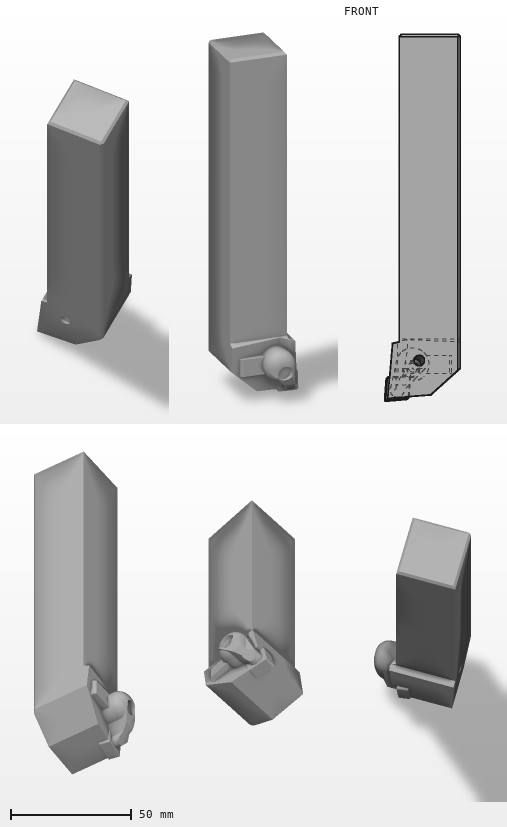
import cadquery as cq
import math

TOTAL_LENGTH = 152.0
SHANK_WIDTH = 25.4
SHANK_CHAMFER = 1.0

HEAD_BOTTOM_LEFT = (-4.7, 1.2)
HEAD_BOTTOM_RIGHT = (13.1, 2.6)
HEAD_SHOULDER_LEFT = (-2.7, 24.0)
HEAD_SHOULDER_TOP = 24.6
BEVEL_TOP = 13.7

HEAD_DEPTH = 28.6
RAMP_TOP = 25.9
RAMP_BOTTOM = 24.5
RAKE_CORNER = (HEAD_SHOULDER_LEFT[0], 27.7, HEAD_SHOULDER_LEFT[1])

SEAT_DEPTH = 2.6
LAND_TOP_WIDTH = 2.0
LAND_BASE_WIDTH = 5.8

RAKE_ANGLE = 6.0
RAKE_SLOPE = math.tan(math.radians(RAKE_ANGLE))
RAKE_NORMAL = cq.Vector(-RAKE_SLOPE, 1, -RAKE_SLOPE).normalized()
RAKE_RIGHT = RAKE_NORMAL.cross(cq.Vector(0, 0, 1)).normalized()
RAKE_UP = RAKE_RIGHT.cross(RAKE_NORMAL)

INSERT_EDGE = 9.7
INSERT_THICKNESS = 4.9
INSERT_NOSE_RADIUS = 0.8
INSERT_RELIEF = 5.0
INSERT_TIP = (-6.1, 22.7, -0.08)

CLAMP_PEAK = 35.9
CLAMP_BASE = 22.5
CLAMP_HEEL = (5.5, 15.4)
CLAMP_HEEL_RADIUS = 6.8
CLAMP_CROWN_RADIUS = 5.5
CLAMP_NOSE = (-0.9, 4.7)
CLAMP_NOSE_RADIUS = 2.9
CLAMP_NOSE_BOTTOM = CLAMP_NOSE[1] - CLAMP_NOSE_RADIUS
CLAMP_NOSE_HEIGHT = 25.7
CLAMP_LEFT_EDGE_HEIGHT = 28.0
CLAMP_SLOPE_MIDDLE = (32.5, 6.8)
CLAMP_SLOPE_TOP = 12.2
CLAMP_LEFT = CLAMP_HEEL[0] - CLAMP_HEEL_RADIUS
CLAMP_RIGHT = CLAMP_HEEL[0] + CLAMP_HEEL_RADIUS

TAIL_TOP = 28.7
TAIL_END = 21.6
TAIL_CHAMFER = 0.9
TAIL_HALF_WIDTH = 3.8

SCREW_HOLE_MOUTH = (8.4, 0, 16.9)
SCREW_RADIUS = 2.1
SCREW_HEAD_RADIUS = 3.3
SCREW_TIP_DEPTH = 15.2
SCREW_HEAD_SEAT = 31.2
SCREW_HEAD_HEIGHT = 3.0

REACH = 91.2


def rake_plane(origin):
    """Plane tilted like the rake face: local x runs up the part and local y to its right."""
    return cq.Workplane(cq.Plane(origin=origin, xDir=RAKE_UP, normal=RAKE_NORMAL))


def extrude_along_y(outline, start, end):
    """Prism of an (x, z) outline between two Y positions."""
    return cq.Workplane("XZ", origin=(0, start, 0)).polyline(outline).close().extrude(start - end)


def make_shank():
    height = TOTAL_LENGTH - BEVEL_TOP
    shank = cq.Workplane("XY", origin=(0, 0, BEVEL_TOP)).box(
        SHANK_WIDTH, SHANK_WIDTH, height, centered=False
    )
    return shank.faces(">Z").edges().chamfer(SHANK_CHAMFER)


def clamp_seat():
    """Space above the sunk seat, bounded on the left by the sloping side of the land."""
    wall_run = LAND_BASE_WIDTH - LAND_TOP_WIDTH
    return (
        cq.Workplane(cq.Plane(origin=RAKE_CORNER, xDir=RAKE_RIGHT, normal=RAKE_UP))
        .polyline(
            [
                (LAND_TOP_WIDTH - wall_run, SEAT_DEPTH),
                (LAND_BASE_WIDTH, -SEAT_DEPTH),
                (REACH, -SEAT_DEPTH),
                (REACH, SEAT_DEPTH),
            ]
        )
        .close()
        .extrude(REACH, both=True)
    )


def make_head():
    outline = [
        HEAD_BOTTOM_LEFT,
        HEAD_BOTTOM_RIGHT,
        (SHANK_WIDTH, BEVEL_TOP),
        (SHANK_WIDTH, RAMP_TOP),
        (0, RAMP_TOP),
        (0, HEAD_SHOULDER_TOP),
        HEAD_SHOULDER_LEFT,
    ]
    head = extrude_along_y(outline, 0, HEAD_DEPTH)
    ramp = (
        cq.Workplane("YZ", origin=(HEAD_BOTTOM_LEFT[0], 0, 0))
        .polyline([(SHANK_WIDTH, RAMP_TOP), (HEAD_DEPTH, RAMP_BOTTOM), (HEAD_DEPTH, RAMP_TOP)])
        .close()
        .extrude(REACH)
    )
    above_rake_face = rake_plane(RAKE_CORNER).rect(REACH, REACH).extrude(REACH)
    return head.cut(ramp).cut(above_rake_face).cut(clamp_seat())


def insert_prism(bottom, top):
    """Rhombic prism between two heights measured along the rake normal from the insert's top face."""
    along = INSERT_EDGE * math.cos(math.radians(INSERT_RELIEF))
    across = INSERT_EDGE * math.sin(math.radians(INSERT_RELIEF))
    corners = [(0, 0), (along, across), (along + across, along + across), (across, along)]
    return rake_plane(INSERT_TIP).workplane(offset=bottom).polyline(corners).close().extrude(top - bottom)


def make_insert():
    blank = insert_prism(-INSERT_THICKNESS, 0)
    return blank.edges(cq.selectors.ParallelDirSelector(RAKE_NORMAL)).fillet(INSERT_NOSE_RADIUS)


def screw_cylinder(radius, start, length):
    """Cylinder on the screw axis, its start measured from the hole mouth on the -Y face."""
    return rake_plane(SCREW_HOLE_MOUTH).workplane(offset=start).circle(radius).extrude(length)


def make_screw():
    shaft = screw_cylinder(SCREW_RADIUS, SCREW_TIP_DEPTH, SCREW_HEAD_SEAT - SCREW_TIP_DEPTH)
    head = screw_cylinder(SCREW_HEAD_RADIUS, SCREW_HEAD_SEAT, SCREW_HEAD_HEIGHT)
    return shaft.union(head)


def long_edge_chamfer():
    """Wedge removed from the long edge of the shank at +X, -Y."""
    return (
        cq.Workplane("XY")
        .polyline([(SHANK_WIDTH - SHANK_CHAMFER, 0), (SHANK_WIDTH, 0), (SHANK_WIDTH, SHANK_CHAMFER)])
        .close()
        .extrude(TOTAL_LENGTH)
    )


def make_holder():
    body = make_shank().union(make_head())
    pocket = insert_prism(-INSERT_THICKNESS, REACH)
    hole = screw_cylinder(SCREW_RADIUS, -SCREW_RADIUS, REACH)
    return body.cut(long_edge_chamfer()).cut(pocket).cut(hole)


def clamp_heel():
    """Round heel with a broadly rounded top."""
    heel = (
        cq.Workplane("XZ", origin=(CLAMP_HEEL[0], CLAMP_BASE, CLAMP_HEEL[1]))
        .circle(CLAMP_HEEL_RADIUS)
        .extrude(CLAMP_BASE - CLAMP_PEAK)
    )
    return heel.faces(">Y").edges().fillet(CLAMP_CROWN_RADIUS)


def arm_section():
    """Cross-section of the arm at the heel, its crown carrying on the rounding of the heel."""
    nose_left = CLAMP_NOSE[0] - CLAMP_NOSE_RADIUS
    shoulder = CLAMP_PEAK - CLAMP_CROWN_RADIUS
    diagonal = CLAMP_CROWN_RADIUS * math.sqrt(0.5)
    left_center = CLAMP_LEFT + CLAMP_CROWN_RADIUS
    right_center = CLAMP_RIGHT - CLAMP_CROWN_RADIUS
    return (
        cq.Workplane("XY")
        .moveTo(nose_left, CLAMP_BASE)
        .lineTo(nose_left, CLAMP_LEFT_EDGE_HEIGHT)
        .lineTo(CLAMP_LEFT, shoulder)
        .threePointArc((left_center - diagonal, shoulder + diagonal), (left_center, CLAMP_PEAK))
        .lineTo(right_center, CLAMP_PEAK)
        .threePointArc((right_center + diagonal, shoulder + diagonal), (CLAMP_RIGHT, shoulder))
        .lineTo(CLAMP_RIGHT, CLAMP_BASE)
        .close()
        .extrude(CLAMP_HEEL[1])
    )


def clamp_arm():
    """Arm narrowing from the full width of the heel to the round nose."""
    heel_x, heel_z = CLAMP_HEEL
    nose_x, nose_z = CLAMP_NOSE
    plan = (
        cq.Workplane("XZ", origin=(0, CLAMP_BASE, 0))
        .moveTo(CLAMP_LEFT, heel_z)
        .lineTo(nose_x - CLAMP_NOSE_RADIUS, nose_z)
        .threePointArc((nose_x, nose_z - CLAMP_NOSE_RADIUS), (nose_x + CLAMP_NOSE_RADIUS, nose_z))
        .lineTo(CLAMP_RIGHT, heel_z)
        .close()
        .extrude(CLAMP_BASE - CLAMP_PEAK)
    )
    slope = (
        cq.Workplane("YZ", origin=(heel_x - REACH / 2, 0, 0))
        .polyline(
            [
                (CLAMP_BASE, heel_z),
                (CLAMP_BASE, CLAMP_NOSE_BOTTOM),
                (CLAMP_NOSE_HEIGHT, CLAMP_NOSE_BOTTOM),
                CLAMP_SLOPE_MIDDLE,
                (CLAMP_PEAK, CLAMP_SLOPE_TOP),
                (CLAMP_PEAK, heel_z),
            ]
        )
        .close()
        .extrude(REACH)
    )
    return plan.intersect(slope).intersect(arm_section())


def clamp_tail():
    start, middle = CLAMP_HEEL
    tail = extrude_along_y(
        [
            (start, middle - TAIL_HALF_WIDTH),
            (TAIL_END, middle - TAIL_HALF_WIDTH),
            (TAIL_END, middle + TAIL_HALF_WIDTH),
            (start, middle + TAIL_HALF_WIDTH),
        ],
        CLAMP_BASE,
        TAIL_TOP,
    )
    return tail.faces(">X").edges(">Y").chamfer(TAIL_CHAMFER)


def make_clamp(holder, insert, screw):
    blank = clamp_heel().union(clamp_arm()).union(clamp_tail())
    counterbore = screw_cylinder(SCREW_HEAD_RADIUS, SCREW_HEAD_SEAT, REACH)
    return blank.cut(holder).cut(insert).cut(screw).cut(counterbore)


holder = make_holder()
insert = make_insert()
screw = make_screw()
clamp = make_clamp(holder, insert, screw)

result = cq.Compound.makeCompound([holder.val(), insert.val(), screw.val(), clamp.val()])